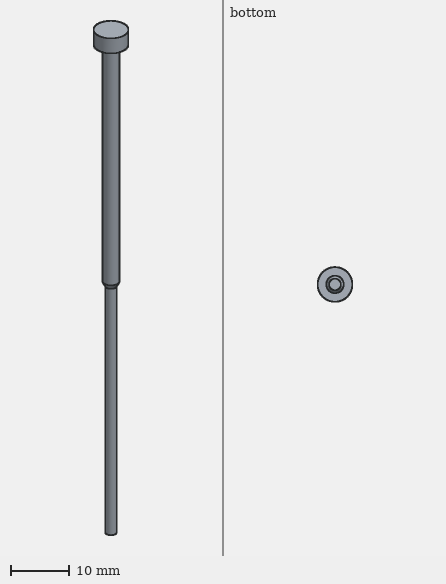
import cadquery as cq

total_length = 100.0
head_diameter = 6.0
head_height = 3.0
shank_diameter = 3.0
tip_diameter = 2.0
tip_length = 49.0
taper_length = 1.0

head_bottom = total_length - head_height
taper_top = tip_length + taper_length

half_section = (
    cq.Workplane("XZ")
    .moveTo(0, 0)
    .lineTo(tip_diameter / 2, 0)
    .lineTo(tip_diameter / 2, tip_length)
    .lineTo(shank_diameter / 2, taper_top)
    .lineTo(shank_diameter / 2, head_bottom)
    .lineTo(head_diameter / 2, head_bottom)
    .lineTo(head_diameter / 2, total_length)
    .lineTo(0, total_length)
    .close()
)

result = half_section.revolve(360, (0, 0, 0), (0, 1, 0))